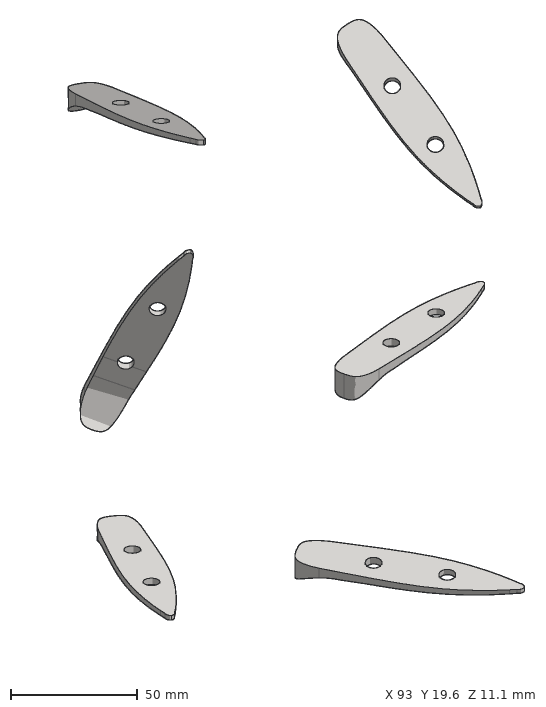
import cadquery as cq

length = 93.0
width = 19.6
heel_depth = 11.1
tip_depth = 2.0

heel_corner = (1.7, 5.8)
heel_shoulder = (7.25, 8.1)
flank_start = (11.4, 8.6)
flank_middle = (30.5, 9.5)
widest = (42.8, width / 2)
flank_end = (63.3, 8.7)
taper_middle = (76.2, 6.3)
taper_end = (87.7, 3.0)
tip_start = (90.45, 1.95)
tip_bulge = (92.4, 1.0)

heel_direction = (0, 1)
flank_direction = (1, 0.12)

scoop_middle = (8.9, 5.9)
scoop_end = (20.45, 4.0)
blend_end = (30.5, 3.4)

hole_diameter = 6.6
hole_spacing = 30.0


def below_top(point):
    """Turn (x, depth) into a point of the XZ plane."""
    x, depth = point
    return (x, -depth)


def make_plan():
    """Symmetric plan shape, extruded down to the full heel depth."""
    upper_half = (
        cq.Workplane("XY")
        .moveTo(0, 0)
        .spline(
            [heel_corner, heel_shoulder, flank_start],
            tangents=[heel_direction, flank_direction],
            includeCurrent=True,
        )
        .spline([flank_middle, widest, flank_end, taper_middle, taper_end], includeCurrent=True)
        .lineTo(*tip_start)
        .threePointArc(tip_bulge, (length, 0))
        .close()
        .extrude(-heel_depth)
    )
    return upper_half.union(upper_half.mirror("XZ"))


def make_side_profile():
    """Flat top, scooped heel and a thin blade that tapers to the tip."""
    return (
        cq.Workplane("XZ")
        .moveTo(0, 0)
        .lineTo(0, -heel_depth)
        .threePointArc(below_top(scoop_middle), below_top(scoop_end))
        .lineTo(*below_top(blend_end))
        .lineTo(length, -tip_depth)
        .lineTo(length, 0)
        .close()
        .extrude(width, both=True)
    )


def make_holes():
    first_x = (length - hole_spacing) / 2
    return (
        cq.Workplane("XY")
        .pushPoints([(first_x, 0), (first_x + hole_spacing, 0)])
        .circle(hole_diameter / 2)
        .extrude(-heel_depth)
    )


result = make_plan().intersect(make_side_profile()).cut(make_holes())